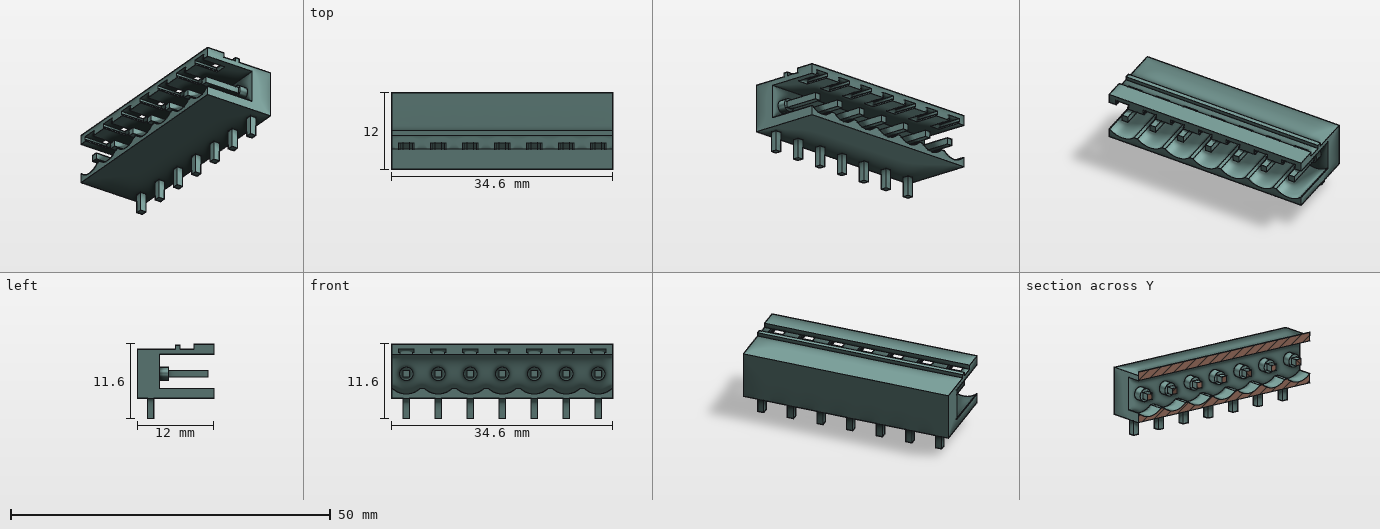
import cadquery as cq


POLES = 7
PITCH = 5.0
END_MARGIN = 2.3
LENGTH = (POLES - 1) * PITCH + 2 * END_MARGIN
PIN_X = [(i - (POLES - 1) / 2) * PITCH for i in range(POLES)]

OVERALL_HEIGHT = 11.63
DEPTH = 12.0
HEIGHT = 8.45
BACK_WALL = 3.5
FLOOR = 1.55
DECK_TOP = 7.7
CEILING = 6.85
RAIL_DEPTH = 3.15

RIB_BACK_OFFSET = 5.95
RIB_WIDTH = 0.75
RIB_HEIGHT = 0.6

SLOT_WIDTH = 2.4
SLOT_NECK_WIDTH = 2.0
SLOT_HEAD_HEIGHT = 0.55
SLOT_BEHIND_RAIL = 1.0

PIN_SIZE = 1.05
PIN_Z = 3.82
PIN_TIP_Y = 0.95
LEG_BACK_OFFSET = 1.55
LEG_LENGTH = OVERALL_HEIGHT - HEIGHT
COLLAR_DIAMETER = 2.1
COLLAR_LENGTH = 1.4
TROUGH_RADIUS = 3.15

WALL_FRONT_Y = DEPTH - BACK_WALL


def box(x_center, width, y_min, y_max, z_min, z_max):
    """Box centred on x_center that spans the given Y and Z limits."""
    return (
        cq.Workplane("XY")
        .box(width, y_max - y_min, z_max - z_min, centered=(True, False, False))
        .translate((x_center, y_min, z_min))
    )


def cylinder_along_y(x_center, z_center, radius, y_min, y_max):
    """Cylinder parallel to Y between the given Y limits."""
    return (
        cq.Workplane("XZ", origin=(x_center, y_min, z_center))
        .circle(radius)
        .extrude(-(y_max - y_min))
    )


def housing_shell():
    """C-shaped section with the rib and the front rail on its deck, extruded along the row."""
    rib_back = DEPTH - RIB_BACK_OFFSET
    rib_front = rib_back - RIB_WIDTH
    section = [
        (0, 0),
        (DEPTH, 0),
        (DEPTH, DECK_TOP),
        (rib_back, DECK_TOP),
        (rib_back, DECK_TOP + RIB_HEIGHT),
        (rib_front, DECK_TOP + RIB_HEIGHT),
        (rib_front, DECK_TOP),
        (RAIL_DEPTH, DECK_TOP),
        (RAIL_DEPTH, HEIGHT),
        (0, HEIGHT),
        (0, CEILING),
        (WALL_FRONT_Y, CEILING),
        (WALL_FRONT_Y, FLOOR),
        (0, FLOOR),
    ]
    return cq.Workplane("YZ").polyline(section).close().extrude(LENGTH / 2, both=True)


def t_slot(x):
    """T-shaped slot open to the cavity, the front face and the deck behind the rail."""
    slot_back = RAIL_DEPTH + SLOT_BEHIND_RAIL
    head = box(x, SLOT_WIDTH, 0, slot_back, DECK_TOP - SLOT_HEAD_HEIGHT, DECK_TOP)
    neck = box(x, SLOT_NECK_WIDTH, 0, slot_back, CEILING, DECK_TOP)
    return head.union(neck)


def trough(x):
    """Lower half of a cylinder around the pin axis, which hollows the floor but not the ceiling."""
    cylinder = cylinder_along_y(x, PIN_Z, TROUGH_RADIUS, 0, WALL_FRONT_Y)
    below_axis = box(x, 2 * TROUGH_RADIUS, 0, WALL_FRONT_Y, PIN_Z - TROUGH_RADIUS, PIN_Z)
    return cylinder.intersect(below_axis)


def collar(x):
    """Round collar that stands out from the back wall around the pin."""
    return cylinder_along_y(x, PIN_Z, COLLAR_DIAMETER / 2, WALL_FRONT_Y - COLLAR_LENGTH, WALL_FRONT_Y)


def make_pin(x):
    """Square L-shaped pin: a contact pointing forward and a solder leg pointing down."""
    half = PIN_SIZE / 2
    leg_back = DEPTH - LEG_BACK_OFFSET
    contact = box(x, PIN_SIZE, PIN_TIP_Y, leg_back, PIN_Z - half, PIN_Z + half)
    leg = box(x, PIN_SIZE, leg_back - PIN_SIZE, leg_back, -LEG_LENGTH, PIN_Z + half)
    return contact.union(leg).clean()


def make_housing(pins):
    """Housing with a T-slot, a trough and a collar at every pole, and a close hole for each pin."""
    housing = housing_shell()
    for x in PIN_X:
        housing = housing.cut(t_slot(x))
        housing = housing.cut(trough(x))
        housing = housing.union(collar(x))
    for pin in pins:
        housing = housing.cut(pin)
    return housing


pins = [make_pin(x) for x in PIN_X]
housing = make_housing(pins)

result = cq.Compound.makeCompound([housing.val(), *[pin.val() for pin in pins]])